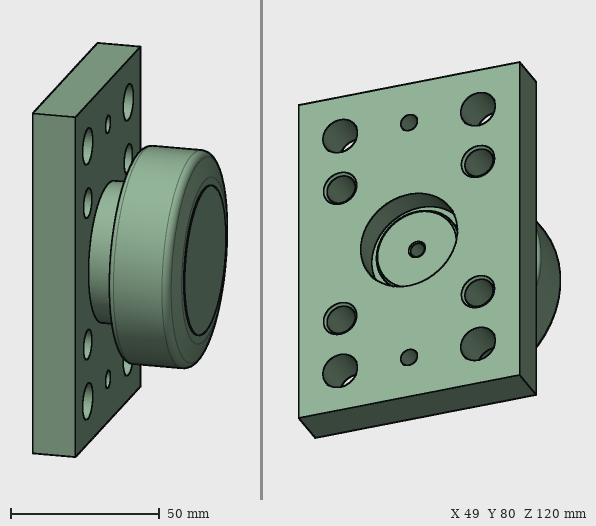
import cadquery as cq
import math

plate_thickness = 15.0
plate_width = 80.0
plate_height = 120.0

hole_offset_y = 25.0
corner_hole_offset_z = 45.0
tapped_hole_offset_z = hole_offset_y
corner_hole_diameter = 12.5
pin_hole_diameter = 6.0
tapped_hole_diameter = 10.2
tapped_hole_mouth_diameter = 12.0

hub_diameter = 48.0
hub_end = 23.9
collar_diameter = 50.6

roller_diameter = 73.7
roller_back = 25.5
roller_front = 48.6
back_edge_radius = 1.8
shoulder_start = 44.2
shoulder_radius = 2.8
front_cone_angle = 15.0

front_disc_diameter = collar_diameter
front_disc_end = 49.0

recess_diameter = 35.0
recess_depth = 10.0
stub_diameter = 30.0
stub_height = 2.9
stub_chamfer = 0.7

centre_hole_diameter = 5.0
centre_hole_mouth_diameter = 6.0
centre_hole_depth = 12.0
drill_point_angle = 118.0


def cylinder(start, diameter, length):
    """Cylinder on the roller axis, beginning at X = start."""
    return cq.Workplane("YZ", origin=(start, 0, 0)).circle(diameter / 2).extrude(length)


def through_holes(positions, diameter):
    """Straight cutters through the plate at (Y, Z) positions."""
    return cq.Workplane("YZ").pushPoints(positions).circle(diameter / 2).extrude(plate_thickness)


def mouth_cone(start, mouth_diameter, hole_diameter):
    """45 degree countersink cutter that narrows from the mouth to the hole."""
    mouth_radius = mouth_diameter / 2
    hole_radius = hole_diameter / 2
    return cq.Solid.makeCone(
        mouth_radius,
        hole_radius,
        mouth_radius - hole_radius,
        cq.Vector(start, 0, 0),
        cq.Vector(1, 0, 0),
    )


def make_plate():
    plate = cq.Workplane("YZ").rect(plate_width, plate_height).extrude(plate_thickness)
    sides = (-1, 1)
    corner_positions = [(y * hole_offset_y, z * corner_hole_offset_z) for y in sides for z in sides]
    tapped_positions = [(y * hole_offset_y, z * tapped_hole_offset_z) for y in sides for z in sides]
    pin_positions = [(0, z * corner_hole_offset_z) for z in sides]

    plate = plate.cut(through_holes(corner_positions, corner_hole_diameter))
    plate = plate.cut(through_holes(pin_positions, pin_hole_diameter))
    plate = plate.cut(through_holes(tapped_positions, tapped_hole_diameter))
    countersink = mouth_cone(0, tapped_hole_mouth_diameter, tapped_hole_diameter)
    for y, z in tapped_positions:
        plate = plate.cut(cq.Workplane(countersink.translate(cq.Vector(0, y, z))))
    return plate


def make_roller():
    """Roller turned about the X axis; profile points are (X, radius)."""
    outer_radius = roller_diameter / 2
    shoulder_centre_radius = outer_radius - shoulder_radius

    def shoulder_point(angle):
        return (
            shoulder_start + shoulder_radius * math.cos(angle),
            shoulder_centre_radius + shoulder_radius * math.sin(angle),
        )

    cone_angle = math.radians(front_cone_angle)
    shoulder_end = shoulder_point(cone_angle)
    shoulder_middle = shoulder_point((math.pi / 2 + cone_angle) / 2)
    cone_end_radius = shoulder_end[1] - (roller_front - shoulder_end[0]) / math.tan(cone_angle)

    profile = (
        cq.Workplane("XY")
        .moveTo(roller_back, 0)
        .lineTo(roller_back, outer_radius - back_edge_radius)
        .radiusArc((roller_back + back_edge_radius, outer_radius), back_edge_radius)
        .lineTo(shoulder_start, outer_radius)
        .threePointArc(shoulder_middle, shoulder_end)
        .lineTo(roller_front, cone_end_radius)
        .lineTo(roller_front, 0)
        .close()
    )
    return profile.revolve(360, (0, 0, 0), (1, 0, 0))


def make_stub():
    stub = cylinder(recess_depth - stub_height, stub_diameter, stub_height)
    return stub.faces("<X").chamfer(stub_chamfer)


def make_centre_hole():
    start = recess_depth - stub_height
    radius = centre_hole_diameter / 2
    point_length = radius / math.tan(math.radians(drill_point_angle / 2))
    hole = cylinder(start, centre_hole_diameter, centre_hole_depth)
    drill_point = cq.Solid.makeCone(
        radius,
        0,
        point_length,
        cq.Vector(start + centre_hole_depth, 0, 0),
        cq.Vector(1, 0, 0),
    )
    mouth = mouth_cone(start, centre_hole_mouth_diameter, centre_hole_diameter)
    return hole.union(cq.Workplane(drill_point)).union(cq.Workplane(mouth))


hub = cylinder(plate_thickness, hub_diameter, hub_end - plate_thickness)
collar = cylinder(hub_end, collar_diameter, roller_back - hub_end)
front_disc = cylinder(roller_front, front_disc_diameter, front_disc_end - roller_front)
recess = cylinder(0, recess_diameter, recess_depth)

result = make_plate().union(hub).union(collar).union(make_roller()).union(front_disc)
result = result.cut(recess).union(make_stub()).cut(make_centre_hole())